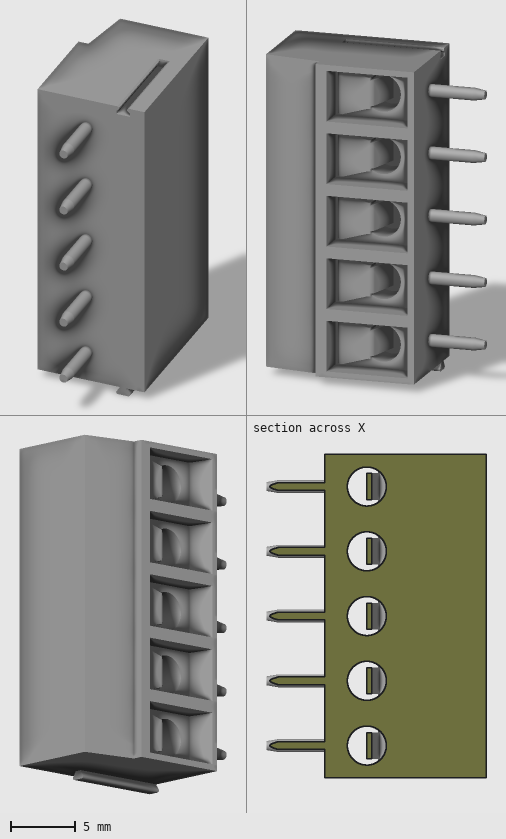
import cadquery as cq
import math


total_height = 25.68
housing_width = 9.0
housing_depth = 12.5
shelf_depth = 7.99
shelf_width = 0.85
draft_angle = math.radians(9)

pole_count = 5

dovetail_x = 7.2
rail_height = 0.67
rail_neck_half_width = 0.3
rail_neck_height = 0.08
rail_base_half_width = 0.72
rail_corner_radius = 0.15
groove_depth = 0.7
groove_mouth_half_width = 0.5
groove_neck_half_width = 0.33
groove_base_half_width = 0.56
groove_mouth_depth = 0.1
groove_neck_depth = 0.23
groove_base_depth = 0.4

pocket_height = 4.05
pocket_front_y = 0.51
pocket_back_y = 7.1
pocket_depth = 2.2

hole_y = 3.25
hole_radius = 1.5
hole_depth = 2.52

guard_thickness = 0.44
guard_tail_y = 6.83
guard_bend_y = 4.3
guard_step_y = 4.1
tail_half_height = 1.85
neck_half_height = 1.23
tongue_half_height = 1.03
tongue_angle = math.radians(75)

pin_x = 4.1
pin_diameter = 1.0
pin_length = 4.5
pin_tip_length = 0.9
pin_tip_diameter = 0.7

housing_height = total_height - rail_height
pole_pitch = housing_height / pole_count
pole_heights = [(pole + 0.5) * pole_pitch for pole in range(pole_count)]
hole_floor_x = pocket_depth + hole_depth


def make_housing():
    """Stepped block whose upper wire-side face leans back by the draft angle."""
    lean = (housing_depth - shelf_depth) * math.tan(draft_angle)
    outline = [
        (0, 0),
        (housing_width, 0),
        (housing_width, housing_depth),
        (shelf_width + lean, housing_depth),
        (shelf_width, shelf_depth),
        (0, shelf_depth),
    ]
    return cq.Workplane("XY").polyline(outline).close().extrude(housing_height)


def dovetail_prism(half_profile, end_z):
    """Mirror a (half width, depth) profile about the dovetail centre and run it up to the shelf."""
    right_side = [(dovetail_x + half, end_z - depth) for half, depth in half_profile]
    left_side = [(dovetail_x - half, end_z - depth) for half, depth in reversed(half_profile)]
    outline = right_side + left_side
    return cq.Workplane("XZ").polyline(outline).close().extrude(-shelf_depth)


def make_rail():
    half_profile = [
        (rail_neck_half_width, 0),
        (rail_neck_half_width, rail_neck_height),
        (rail_base_half_width, rail_height),
    ]
    return dovetail_prism(half_profile, 0).edges("|Y and <Z").fillet(rail_corner_radius)


def make_groove():
    half_profile = [
        (groove_mouth_half_width, 0),
        (groove_neck_half_width, groove_mouth_depth),
        (groove_neck_half_width, groove_neck_depth),
        (groove_base_half_width, groove_base_depth),
        (groove_base_half_width, groove_depth),
    ]
    return dovetail_prism(half_profile, housing_height)


def make_pocket(center_z):
    """Rectangular pocket with a drafted front wall, plus the wire hole in its floor."""
    draft_offset = pocket_depth * math.tan(draft_angle)
    outline = [
        (0, pocket_front_y),
        (0, pocket_back_y),
        (pocket_depth, pocket_back_y),
        (pocket_depth, pocket_front_y + draft_offset),
    ]
    pocket = (
        cq.Workplane("XY", origin=(0, 0, center_z))
        .polyline(outline)
        .close()
        .extrude(pocket_height / 2, both=True)
    )
    hole = (
        cq.Workplane("YZ", origin=(pocket_depth, hole_y, center_z))
        .circle(hole_radius)
        .extrude(hole_depth)
    )
    return pocket.union(hole)


def make_guard(center_z):
    """Bent sheet profile, trimmed to the tapering outline it has when seen along X."""
    top_x = pocket_depth - guard_thickness
    flat_start_y = guard_tail_y - guard_thickness
    diagonal = guard_thickness * math.sqrt(0.5)

    def bend_point(angle):
        x = pocket_depth - guard_thickness * math.cos(angle)
        y = guard_bend_y - guard_thickness * math.sin(angle)
        return x, y

    bend_end_x, bend_end_y = bend_point(tongue_angle)
    tongue_slope = 1 / math.tan(tongue_angle)
    tongue_front_y = bend_end_y - (hole_floor_x - bend_end_x) * tongue_slope
    tongue_back_y = guard_bend_y - (hole_floor_x - pocket_depth) * tongue_slope
    sheet = (
        cq.Workplane("XY", origin=(0, 0, center_z))
        .moveTo(pocket_depth, guard_tail_y)
        .threePointArc((pocket_depth - diagonal, flat_start_y + diagonal), (top_x, flat_start_y))
        .lineTo(top_x, guard_bend_y)
        .threePointArc(bend_point(tongue_angle / 2), (bend_end_x, bend_end_y))
        .lineTo(hole_floor_x, tongue_front_y)
        .lineTo(hole_floor_x, tongue_back_y)
        .lineTo(pocket_depth, guard_bend_y)
        .close()
        .extrude(tail_half_height, both=True)
    )

    upper_outline = [
        (guard_tail_y, tail_half_height),
        (flat_start_y, tail_half_height),
        (guard_bend_y, neck_half_height),
        (guard_step_y, neck_half_height),
        (guard_step_y, tongue_half_height),
        (tongue_front_y, tongue_half_height),
    ]
    lower_outline = [(y, -z) for y, z in reversed(upper_outline)]
    trim = (
        cq.Workplane("YZ", origin=(0, 0, center_z))
        .polyline(upper_outline + lower_outline)
        .close()
        .extrude(hole_floor_x)
    )
    return sheet.intersect(trim)


def make_pin(center_z):
    """Round pin with a tapered tip, revolved about its own Y axis."""
    half_section = [
        (0, 0),
        (pin_diameter / 2, 0),
        (pin_diameter / 2, pin_tip_length - pin_length),
        (pin_tip_diameter / 2, -pin_length),
        (0, -pin_length),
    ]
    return (
        cq.Workplane("XY", origin=(pin_x, 0, center_z))
        .polyline(half_section)
        .close()
        .revolve(360, (0, 0, 0), (0, 1, 0))
    )


result = make_housing().cut(make_groove()).union(make_rail())
for pole_z in pole_heights:
    result = result.cut(make_pocket(pole_z))
    result = result.union(make_guard(pole_z))
    result = result.union(make_pin(pole_z))